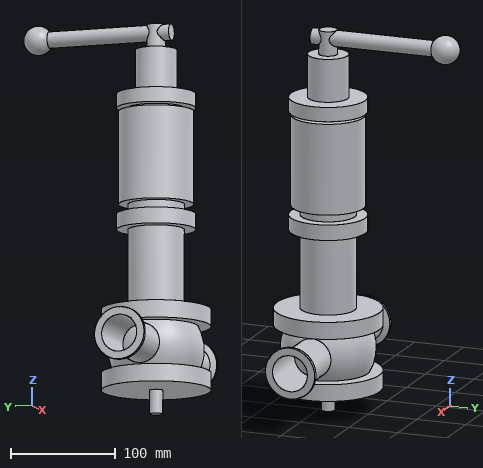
import cadquery as cq

pin_d = 13.0
flange_d = 105.0
column_d = 54.0
collar_d = 76.0
housing_d = 72.0
cap_d = 40.0
pivot_d = 18.0
lower_flange_z = 23.0
lower_flange_top_z = 40.0
upper_flange_z = 84.5
upper_flange_top_z = 101.5
lower_collar_z = 178.5
lower_collar_top_z = 193.7
housing_z = 203.0
housing_top_z = 293.0
upper_collar_z = 296.0
upper_collar_top_z = 310.0
cap_top_z = 352.5

body_d = 92.0
body_z = (lower_flange_top_z + upper_flange_z) / 2
port_span = 200.0
pipe_d = 38.3
bore_d = 35.5
ferrule_d = 50.5
ferrule_rim = 3.5
pipe_start = 30.5
ferrule_length = 5.5

total_height = 383.0
total_depth = 186.5
lever_d = 16.0
lever_tail = 15.7
knob_d = 28.5
lever_z = total_height - knob_d / 2
lever_top_z = lever_z + lever_d / 2
knob_y = total_depth - flange_d / 2 - knob_d / 2


def disc(diameter, bottom, top):
    """Cylinder on the stem axis between two heights."""
    return cq.Workplane("XY").workplane(offset=bottom).circle(diameter / 2).extrude(top - bottom)


def ball(diameter, y, z):
    """Sphere on the X = 0 plane, its seam turned to +Y to keep it clear of the ports."""
    sphere = cq.Workplane("XY").sphere(diameter / 2)
    return sphere.rotate((0, 0, 0), (0, 0, 1), 90).translate((0, y, z))


def port(side):
    """Tube along X from inside the ball, widening into a ferrule; side is +1 or -1."""
    end = port_span / 2
    profile = [
        (pipe_start, bore_d / 2),
        (end, bore_d / 2),
        (end, ferrule_d / 2),
        (end - ferrule_rim, ferrule_d / 2),
        (end - ferrule_length, pipe_d / 2),
        (pipe_start, pipe_d / 2),
    ]
    outline = cq.Workplane("XZ").polyline([(side * x, r) for x, r in profile]).close()
    return outline.revolve(360, (0, 0, 0), (1, 0, 0)).translate((0, 0, body_z))


def valve_body():
    """Solid ball trimmed flat where it meets the flanges; it closes the inner end of both bores."""
    between_flanges = disc(flange_d, lower_flange_top_z, upper_flange_z)
    return ball(body_d, 0, body_z).intersect(between_flanges)


def lever():
    """Horizontal rod through the pivot with a ball knob at its +Y end."""
    rod = (
        cq.Workplane("XZ", origin=(0, -lever_tail, lever_z))
        .circle(lever_d / 2)
        .extrude(-(knob_y + lever_tail))
    )
    return rod.union(ball(knob_d, knob_y, lever_z))


stem_sections = [
    (pin_d, 0, lower_flange_z),
    (flange_d, lower_flange_z, lower_flange_top_z),
    (flange_d, upper_flange_z, upper_flange_top_z),
    (column_d, upper_flange_top_z, upper_collar_z),
    (collar_d, lower_collar_z, lower_collar_top_z),
    (housing_d, housing_z, housing_top_z),
    (collar_d, upper_collar_z, upper_collar_top_z),
    (cap_d, upper_collar_top_z, cap_top_z),
    (pivot_d, cap_top_z, lever_top_z),
]

result = valve_body()
for section in stem_sections:
    result = result.union(disc(*section))
for side in (-1, 1):
    result = result.union(port(side))
result = result.union(lever())